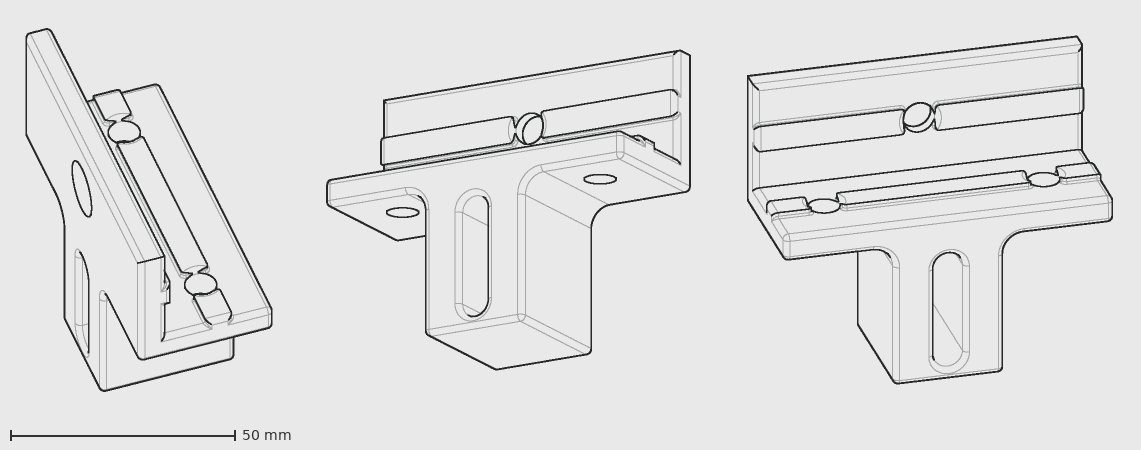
import cadquery as cq
import math

WIDTH = 76.2
DEPTH = 31.8
HEIGHT = 65.75
WALL = DEPTH / 5
STEM_WIDTH = WIDTH / 3
NECK_RADIUS = 4.7
EDGE_RADIUS = WALL / 5
HEAD_BOTTOM = HEIGHT - DEPTH
SHELF_TOP = HEAD_BOTTOM + WALL

HOLE_DIAMETER = 7.2
HOLE_RADIUS = HOLE_DIAMETER / 2
COUNTERSINK_DIAMETER = 12.9
COUNTERSINK_ANGLE = 82
PLATE_HOLE_Z = (SHELF_TOP + HEIGHT) / 2
SHELF_HOLE_X = WIDTH / 3
SHELF_HOLE_Y = (WALL + DEPTH) / 2

SLOT_WIDTH = 6.85
SLOT_LENGTH = 28.2
SLOT_MIDDLE_Z = 16.9

RIB_WIDTH = 6.25
RIB_HEIGHT = EDGE_RADIUS
RIB_CORNER_RADIUS = 0.85
RIB_ROOT_RADIUS = 0.45

OVERLAP = 0.8
TOLERANCE = 0.04


def on_shelf(shape):
    """Move a shape built on the XY plane onto the top of the shelf."""
    return shape.translate((0, SHELF_HOLE_Y, SHELF_TOP))


def on_plate(shape):
    """Move a shape built on the XY plane onto the inner face of the upright plate."""
    return shape.rotate((0, 0, 0), (1, 0, 0), -90).translate((0, WALL, PLATE_HOLE_Z))


def make_body():
    """L-shaped head on a stem, with the two neck radii."""
    head_profile = [
        (0, HEAD_BOTTOM),
        (DEPTH, HEAD_BOTTOM),
        (DEPTH, SHELF_TOP),
        (WALL, SHELF_TOP),
        (WALL, HEIGHT),
        (0, HEIGHT),
    ]
    head = cq.Workplane("YZ").polyline(head_profile).close().extrude(WIDTH / 2, both=True)
    stem = cq.Workplane("XY").center(0, DEPTH / 2).rect(STEM_WIDTH, DEPTH).extrude(HEAD_BOTTOM + OVERLAP)
    neck_edges = cq.selectors.BoxSelector(
        (-STEM_WIDTH / 2 - TOLERANCE, 0, HEAD_BOTTOM - TOLERANCE),
        (STEM_WIDTH / 2 + TOLERANCE, DEPTH, HEAD_BOTTOM + TOLERANCE),
    )
    return head.union(stem).edges("|Y").edges(neck_edges).fillet(NECK_RADIUS)


def make_slot():
    """Upright round-ended slot through the full depth of the stem."""
    slot = cq.Workplane("XZ").center(0, SLOT_MIDDLE_Z).slot2D(SLOT_LENGTH, SLOT_WIDTH, 90)
    return slot.extrude(-DEPTH)


def make_rib(hole_positions):
    """Rib along X over the full width, standing on Z = 0 and broken at each hole."""
    inner_ends = cq.selectors.BoxSelector(
        (-WIDTH / 2 + TOLERANCE, -RIB_WIDTH, -WIDTH),
        (WIDTH / 2 - TOLERANCE, RIB_WIDTH, WIDTH),
    )
    rib = cq.Workplane("XY").workplane(offset=-OVERLAP).rect(WIDTH, RIB_WIDTH).extrude(RIB_HEIGHT + OVERLAP)
    breaks = (
        cq.Workplane("XY")
        .workplane(offset=-OVERLAP)
        .pushPoints([(x, 0) for x in hole_positions])
        .rect(HOLE_DIAMETER, 2 * RIB_WIDTH)
        .extrude(RIB_HEIGHT + 2 * OVERLAP)
    )
    return rib.cut(breaks).edges("|Z").edges(inner_ends).fillet(RIB_CORNER_RADIUS)


def round_outer_edges(part):
    """Round every outer edge except the two short ones at the top ends of the plate."""
    front_and_back = part.faces("<Y or >Y").edges()
    ends = part.faces("<X or >X").edges("not >Z")
    bottom = part.edges("|Y and <Z")
    top = part.edges("|X and >Z")
    return front_and_back.add(ends).add(bottom).add(top).fillet(EDGE_RADIUS)


def round_rib_roots(part):
    """Blend the ribs into the two inner faces."""
    half_x = WIDTH / 2 + TOLERANCE
    half_rib = RIB_WIDTH / 2 + TOLERANCE
    shelf_roots = cq.selectors.BoxSelector(
        (-half_x, SHELF_HOLE_Y - half_rib, SHELF_TOP - TOLERANCE),
        (half_x, SHELF_HOLE_Y + half_rib, SHELF_TOP + TOLERANCE),
        boundingbox=True,
    )
    plate_roots = cq.selectors.BoxSelector(
        (-half_x, WALL - TOLERANCE, PLATE_HOLE_Z - half_rib),
        (half_x, WALL + TOLERANCE, PLATE_HOLE_Z + half_rib),
        boundingbox=True,
    )
    return part.edges(shelf_roots + plate_roots).fillet(RIB_ROOT_RADIUS)


def make_hole_cutters(hole_positions):
    """Through holes whose flared mouths round the rib ends; the face they open into is at Z = 0."""
    mouth_radius = HOLE_RADIUS + EDGE_RADIUS
    mouth_bottom = RIB_HEIGHT - EDGE_RADIUS
    arc_inset = EDGE_RADIUS * (1 - math.sqrt(0.5))
    cutter = (
        cq.Workplane("XZ")
        .moveTo(0, -WALL)
        .lineTo(HOLE_RADIUS, -WALL)
        .lineTo(HOLE_RADIUS, mouth_bottom)
        .threePointArc((HOLE_RADIUS + arc_inset, RIB_HEIGHT - arc_inset), (mouth_radius, RIB_HEIGHT))
        .lineTo(mouth_radius, RIB_HEIGHT + OVERLAP)
        .lineTo(0, RIB_HEIGHT + OVERLAP)
        .close()
        .revolve(360, (0, 0, 0), (0, 1, 0))
        .val()
    )
    points = cq.Workplane("XY").pushPoints([(x, 0) for x in hole_positions])
    return points.eachpoint(lambda place: cutter.moved(place), combine=False)


def make_countersink():
    """Cone that opens into the front face of the plate."""
    mouth_radius = COUNTERSINK_DIAMETER / 2
    cone_height = mouth_radius / math.tan(math.radians(COUNTERSINK_ANGLE / 2))
    centre = cq.Vector(0, 0, PLATE_HOLE_Z)
    inward = cq.Vector(0, 1, 0)
    return cq.Workplane(cq.Solid.makeCone(mouth_radius, 0, cone_height, centre, inward))


shelf_holes = [-SHELF_HOLE_X, SHELF_HOLE_X]
plate_holes = [0]

part = make_body().cut(make_slot())
part = part.union(on_shelf(make_rib(shelf_holes)))
part = part.union(on_plate(make_rib(plate_holes)))
part = round_outer_edges(part)
part = round_rib_roots(part)
part = part.cut(on_shelf(make_hole_cutters(shelf_holes)))
part = part.cut(on_plate(make_hole_cutters(plate_holes)))
result = part.cut(make_countersink())